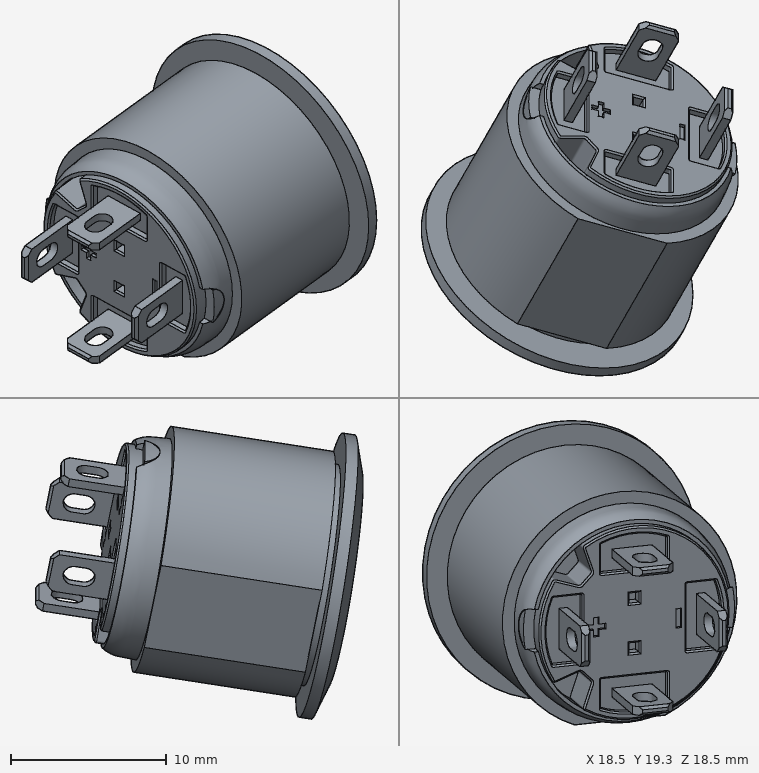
import cadquery as cq
import math


rim_depth = 0.71
bezel_depth = 1.5
neck_depth = 1.97
body_depth = 12.49
dome_start_depth = 13.5
dome_end_depth = 14.7
cap_depth = 15.3
notch_floor_depth = 12.7
terminal_end_depth = 19.3

bezel_radius = 18.5 / 2
face_radius = 7.12
neck_radius = 14.42 / 2
body_radius = 8.0
dome_start_radius = 7.16
dome_end_radius = 6.77
cap_radius = 6.5

body_flat = 7.4
edge_chamfer = 0.12

latch_radius = 1.43
latch_shoulder_depth = 14.26

notch_corner_x = -2.88
notch_corner_z = 3.69
notch_wall_tilt = 19
notch_fillet = 0.2

terminal_offset = 4.69
terminal_width = 2.75
terminal_thickness = 0.58
terminal_corner = 0.5
terminal_tip_chamfer = 0.17
eyelet_length = 2.05
eyelet_width = 1.35
eyelet_depth = 17.3
pocket_width = 4.57
pocket_inner = 3.55
pocket_outer_radius = 6.0
pocket_depth = 0.5
pocket_fillet = 0.08
pocket_floor_depth = cap_depth - pocket_depth

hole_side = 0.68
hole_offset = 1.68
hole_depth = 0.77
mark_depth = 0.23
mark_length = 1.3
mark_width = 0.37
mark_offset_plus = 2.6
mark_offset_minus = 3.03


def plane_at(depth):
    """Sketch plane across the axis: local x is X, local y is Z, extrusion goes towards -Y."""
    return cq.Workplane("XZ", origin=(0, -depth, 0))


def disc(radius, start, end):
    """Cylinder on the axis between two depths."""
    return plane_at(start).circle(radius).extrude(end - start)


def four_around(solid):
    """The solid and its copies turned to all four sides of the axis."""
    return [solid.rotate((0, 0, 0), (0, 1, 0), 90 * turn) for turn in range(4)]


def housing():
    """Bezel, neck and domed end turned about the axis, with the flatted body between them."""
    arc_drop = dome_start_radius - dome_end_radius
    arc_rise = dome_end_depth - dome_start_depth
    arc_radius = (arc_drop ** 2 + arc_rise ** 2) / (2 * arc_drop)
    half_sweep = math.asin(arc_rise / arc_radius) / 2
    arc_middle = (
        dome_start_radius - arc_radius * (1 - math.cos(half_sweep)),
        -dome_start_depth - arc_radius * math.sin(half_sweep),
    )
    turned = (
        cq.Workplane("XY")
        .moveTo(0, 0)
        .lineTo(face_radius, 0)
        .lineTo(bezel_radius, -rim_depth)
        .lineTo(bezel_radius, -bezel_depth)
        .lineTo(neck_radius, -bezel_depth)
        .lineTo(neck_radius, -body_depth)
        .lineTo(dome_start_radius, -dome_start_depth)
        .threePointArc(arc_middle, (dome_end_radius, -dome_end_depth))
        .lineTo(0, -dome_end_depth)
        .close()
        .revolve(360, (0, 0, 0), (0, 1, 0))
    )
    below_flat = (
        plane_at(neck_depth)
        .center(0, -body_flat - body_radius)
        .rect(2 * body_radius, 2 * body_radius)
        .extrude(body_depth - neck_depth)
    )
    body = disc(body_radius, neck_depth, body_depth).cut(below_flat)
    return turned.union(body)


def add_latches(part):
    """Round latch tabs filling out the dome to the neck radius, with a flat shoulder."""
    latch = (
        cq.Workplane("YZ", origin=(-neck_radius, -dome_end_depth, 0))
        .circle(latch_radius)
        .extrude(2 * neck_radius)
    )
    notch_ring = disc(neck_radius, latch_shoulder_depth, dome_end_depth)
    notch_ring = notch_ring.cut(disc(cap_radius, latch_shoulder_depth, dome_end_depth))
    tab_zone = disc(neck_radius, body_depth, latch_shoulder_depth)
    return part.cut(latch.intersect(notch_ring)).union(latch.intersect(tab_zone))


def cap():
    """Round insert standing out of the dome, with corner notches, pockets, square holes and marks."""
    insert = disc(cap_radius, notch_floor_depth, cap_depth)
    wall_x = notch_corner_x - (cap_radius - notch_corner_z) * math.tan(math.radians(notch_wall_tilt))
    notch = (
        plane_at(notch_floor_depth)
        .polyline([
            (wall_x, cap_radius),
            (notch_corner_x, notch_corner_z),
            (-notch_corner_z, -notch_corner_x),
            (-cap_radius, -wall_x),
            (-cap_radius, cap_radius),
        ])
        .close()
        .extrude(cap_depth - notch_floor_depth)
    )
    insert = insert.cut(notch).cut(notch.mirror("XY"))
    insert = insert.edges("|Y and (not >X)").fillet(notch_fillet)
    for cutter in four_around(pocket()):
        insert = insert.cut(cutter)
    insert = insert.cut(square_holes()).faces("<Y").chamfer(edge_chamfer)
    return insert.cut(polarity_marks())


def pocket():
    """Pocket around the upper terminal: straight sides, outer wall concentric with the cap."""
    strip = (
        plane_at(pocket_floor_depth)
        .center(0, pocket_inner + cap_radius / 2)
        .rect(pocket_width, cap_radius)
        .extrude(pocket_depth)
    )
    cutter = strip.intersect(disc(pocket_outer_radius, pocket_floor_depth, cap_depth))
    return cutter.edges("|Y").fillet(pocket_fillet)


def terminal():
    """Upper solder terminal: a flat blade with clipped corners, a bevelled tip and an eyelet."""
    blade = (
        plane_at(pocket_floor_depth)
        .center(0, terminal_offset)
        .rect(terminal_width, terminal_thickness)
        .extrude(terminal_end_depth - pocket_floor_depth)
    )
    blade = blade.faces("<Y").edges("|X").chamfer(terminal_tip_chamfer)
    half_width = terminal_width / 2
    for side in (-1, 1):
        corner = (
            cq.Workplane("XY")
            .polyline([
                (side * half_width, -terminal_end_depth),
                (side * (half_width - terminal_corner), -terminal_end_depth),
                (side * half_width, -terminal_end_depth + terminal_corner),
            ])
            .close()
            .extrude(terminal_offset + terminal_thickness)
        )
        blade = blade.cut(corner)
    eyelet = (
        cq.Workplane("XY", origin=(0, -eyelet_depth, 0))
        .slot2D(eyelet_length, eyelet_width, 90)
        .extrude(terminal_offset + terminal_thickness)
    )
    return blade.cut(eyelet)


def square_holes():
    """Two blind square holes, one above and one below the axis."""
    return (
        plane_at(cap_depth - hole_depth)
        .pushPoints([(0, hole_offset), (0, -hole_offset)])
        .rect(hole_side, hole_side)
        .extrude(hole_depth)
    )


def polarity_marks():
    """Engraved plus on the -X side and minus, standing upright, on the +X side."""
    sketch = plane_at(cap_depth - mark_depth)
    plus = sketch.center(-mark_offset_plus, 0)
    upright = plus.rect(mark_width, mark_length).extrude(mark_depth)
    level = plus.rect(mark_length, mark_width).extrude(mark_depth)
    minus = sketch.center(mark_offset_minus, 0).rect(mark_width, mark_length).extrude(mark_depth)
    return upright.union(level).union(minus)


socket = disc(cap_radius, notch_floor_depth, dome_end_depth)
result = add_latches(housing()).cut(socket).union(cap())
for blade in four_around(terminal()):
    result = result.union(blade)